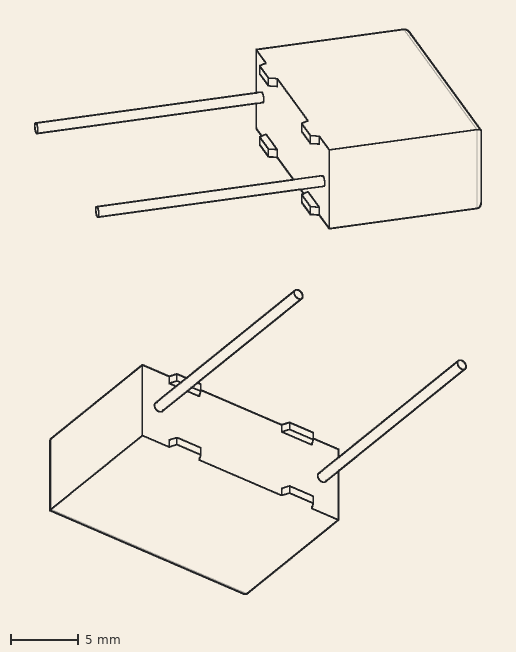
import cadquery as cq

total_length = 29.5
case_width = 18.0
case_height = 6.5

case_depth = 11.95
back_edge_radius = 0.47

foot_base_width = 2.77
foot_tip_width = 2.18
foot_projection = 0.6
foot_thickness = 0.65
foot_spacing = 10.32

lead_diameter = 0.8
lead_spacing = 15.0
lead_length = total_length - case_depth


def make_foot(center_x, bottom_z):
    """Trapezoidal standoff foot that narrows away from the lead face."""
    half_base = foot_base_width / 2
    half_tip = foot_tip_width / 2
    outline = [
        (center_x - half_base, 0),
        (center_x - half_tip, -foot_projection),
        (center_x + half_tip, -foot_projection),
        (center_x + half_base, 0),
    ]
    return (
        cq.Workplane("XY", origin=(0, 0, bottom_z))
        .polyline(outline)
        .close()
        .extrude(foot_thickness)
    )


def make_case():
    """Rectangular case, rounded around its back face, with four standoff feet."""
    case = (
        cq.Workplane("XY")
        .box(case_width, case_depth, case_height, centered=(True, False, True))
        .faces(">Y")
        .edges()
        .fillet(back_edge_radius)
    )
    lower_foot_z = -case_height / 2
    upper_foot_z = case_height / 2 - foot_thickness
    for center_x in (-foot_spacing / 2, foot_spacing / 2):
        for bottom_z in (lower_foot_z, upper_foot_z):
            case = case.union(make_foot(center_x, bottom_z))
    return case


def make_lead(center_x):
    """Straight round wire that starts on the lead face and runs toward -Y."""
    return (
        cq.Workplane("XZ", origin=(center_x, 0, 0))
        .circle(lead_diameter / 2)
        .extrude(lead_length)
    )


case = make_case()
leads = [make_lead(center_x) for center_x in (-lead_spacing / 2, lead_spacing / 2)]

result = cq.Compound.makeCompound([case.solids().val(), *[lead.val() for lead in leads]])